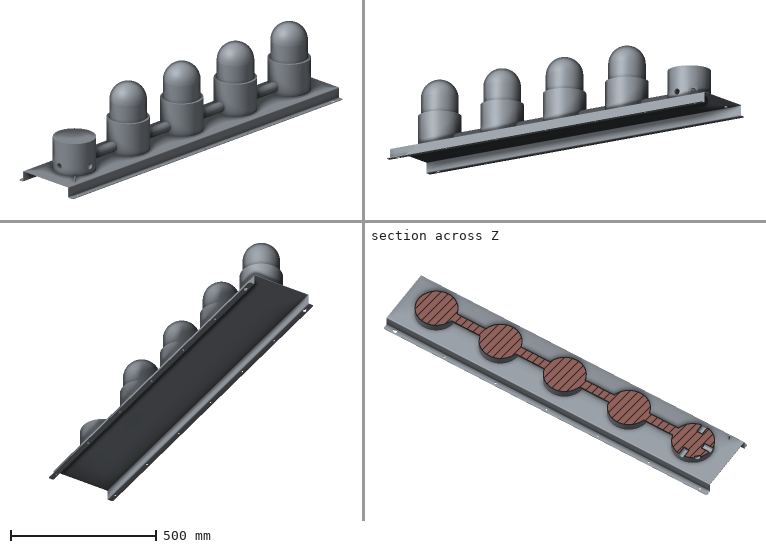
import cadquery as cq
import math

rail_length = 1325.0
rail_width = 260.0
rail_height = 40.0
sheet = 2.0
bend_inner = 2.0
bend_outer = bend_inner + sheet
web_outer = 110.0
web_inner = web_outer - sheet
flange_corner_radius = 5.0

total_height = 288.0
box_y = 140.0
last_lamp_y = 1192.0
lamp_count = 4
station_pitch = (last_lamp_y - box_y) / lamp_count
base_radius = 74.9
base_height = 119.0
dome_radius = 65.0
dome_centre_z = total_height - dome_radius

conduit_radius = 19.0
entry_height = 29.0

port_radius = 10.0
port_depth = 33.0
gland_radius = 17.0
gland_bore_radius = 10.0
gland_bore_depth = 7.0
gland_face = base_radius
gland_angle = 225

hole_x = 119.0
hole_end_offset = 35.0
hole_count = 7
hole_diameter = 7.0
hole_pitch = (rail_length - 2 * hole_end_offset) / (hole_count - 1)
large_hole_end_offset = 42.0
large_hole_diameter = 12.0

stud_x = 91.0
stud_y = 50.0
stud_radius = 3.3
stud_height = 20.0
head_radius = 6.0
head_height = 4.0


def cylinder(x, y, z, radius, height):
    """Upright cylinder standing on height z."""
    return cq.Workplane("XY", origin=(x, y, z)).circle(radius).extrude(height)


def radial_cylinder(angle, inner, outer, radius):
    """Horizontal cylinder pointing out of the junction box between two distances from its axis."""
    direction = cq.Vector(math.cos(math.radians(angle)), math.sin(math.radians(angle)), 0)
    start = cq.Vector(0, box_y, rail_height + entry_height) + direction * inner
    return cq.Workplane(cq.Solid.makeCylinder(radius, outer - inner, start, direction))


def make_rail():
    half_width = rail_width / 2
    section = (
        cq.Workplane("XZ")
        .moveTo(0, rail_height)
        .lineTo(web_outer - bend_outer, rail_height)
        .radiusArc((web_outer, rail_height - bend_outer), bend_outer)
        .lineTo(web_outer, bend_outer)
        .radiusArc((web_outer + bend_inner, sheet), -bend_inner)
        .lineTo(half_width, sheet)
        .lineTo(half_width, 0)
        .lineTo(web_outer + bend_inner, 0)
        .radiusArc((web_inner, bend_outer), bend_outer)
        .lineTo(web_inner, rail_height - bend_outer)
        .radiusArc((web_inner - bend_inner, rail_height - sheet), -bend_inner)
        .lineTo(0, rail_height - sheet)
        .close()
    )
    half_rail = section.extrude(-rail_length)
    half_rail = half_rail.edges("|Z and >X").fillet(flange_corner_radius)
    return half_rail.union(half_rail.mirror("YZ"))


def make_flange_holes():
    small_points = [
        (side * hole_x, hole_end_offset + i * hole_pitch) for side in (-1, 1) for i in range(hole_count)
    ]
    large_points = [(side * hole_x, rail_length - large_hole_end_offset) for side in (-1, 1)]
    flange = cq.Workplane("XY")
    small = flange.pushPoints(small_points).circle(hole_diameter / 2).extrude(sheet)
    large = flange.pushPoints(large_points).circle(large_hole_diameter / 2).extrude(sheet)
    return small.union(large)


def make_lamp(y):
    base = cylinder(0, y, rail_height, base_radius, base_height)
    glass = cylinder(0, y, rail_height, dome_radius, dome_centre_z - rail_height)
    dome = cq.Workplane("XY", origin=(0, y, dome_centre_z)).sphere(dome_radius)
    return base.union(glass).union(dome)


def make_conduit():
    """Straight conduit from the box wall to the last lamp, kept out of the box so its openings stay clear."""
    return (
        cq.Workplane("XZ", origin=(0, box_y, rail_height + entry_height))
        .circle(conduit_radius)
        .extrude(box_y - last_lamp_y)
        .cut(cylinder(0, box_y, rail_height, base_radius, base_height))
    )


def make_junction_box():
    box = cylinder(0, box_y, rail_height, base_radius, base_height)
    box = box.union(radial_cylinder(gland_angle, 0, gland_face, gland_radius))
    box = box.cut(radial_cylinder(gland_angle, gland_face - gland_bore_depth, gland_face, gland_bore_radius))
    for angle in (180, 270, 0):
        box = box.cut(radial_cylinder(angle, base_radius - port_depth, base_radius, port_radius))
    return box


def make_stud():
    underside = rail_height - sheet
    shank = cylinder(stud_x, stud_y, underside, stud_radius, sheet + stud_height)
    head = cylinder(stud_x, stud_y, underside - head_height, head_radius, head_height)
    return shank.union(head)


result = make_rail().cut(make_flange_holes())
result = result.union(make_conduit())
for i in range(1, lamp_count + 1):
    result = result.union(make_lamp(box_y + i * station_pitch))
result = result.union(make_junction_box())
result = result.union(make_stud())